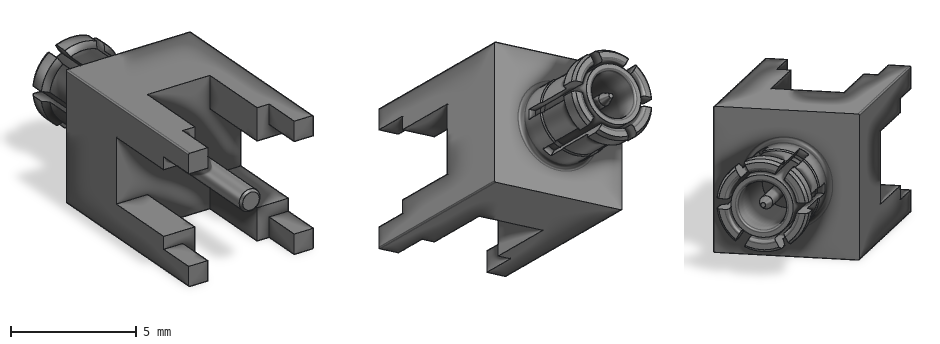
import cadquery as cq
import math


BODY_WIDTH = 6.0
BODY_DEPTH = 3.6
BODY_LENGTH = 8.8
EDGE_ROUND = 0.06
LEG_SIZE = 1.5
LEG_TIP_SIZE = 0.92
LEG_STEP_X = 7.0

REAR_PIN_RADIUS = 0.5
REAR_PIN_CHAMFER = 0.1

SHELL_LENGTH = 4.2
SHELL_BASE_RADIUS = 1.7
SHELL_NECK_RADIUS = 1.65
SHELL_LIP_RADIUS = 1.9
SHELL_BORE_RADIUS = 1.4
SHELL_ROOT_FILLET = 0.2
LIP_FLAT_END = 0.75
NECK_START = 0.98
NECK_END = 2.78
BASE_START = 2.86
LIP_CHAMFER_LENGTH = 0.16
LIP_CHAMFER_HEIGHT = 0.11
SHELL_BORE_ROUND = 0.15

SLOT_COUNT = 6
SLOT_WIDTH = 0.43
SLOT_LENGTH = 3.7

SLEEVE_RADIUS = 1.28
SLEEVE_BORE_RADIUS = 1.0
SLEEVE_BORE_ROUND = 0.09
SLEEVE_STEP_END = 3.3
FRONT_PIN_RADIUS = 0.27
FRONT_PIN_TIP_RADIUS = 0.1
FRONT_PIN_RECESS = 0.2
FRONT_PIN_CONE_LENGTH = 0.5

TIP_X = -SHELL_LENGTH

ARC_MIDPOINT_DROP = 1 - math.sqrt(0.5)


def revolve_about_x(profile):
    """Revolve a closed (X, radius) profile about the X axis."""
    return profile.close().revolve(360, (0, 0, 0), (1, 0, 0))


def box_along_x(start, end, size_y, size_z):
    """Box centred on the X axis between two X positions."""
    return cq.Workplane("XY").box(end - start, size_y, size_z).translate(((start + end) / 2, 0, 0))


def make_body():
    """Square block whose rear is cut crosswise into four stepped legs."""
    body = box_along_x(0, BODY_LENGTH, BODY_WIDTH, BODY_WIDTH).edges("|X").fillet(EDGE_ROUND)
    for start, leg in ((BODY_DEPTH, LEG_SIZE), (LEG_STEP_X, LEG_TIP_SIZE)):
        gap = BODY_WIDTH - 2 * leg
        body = body.cut(box_along_x(start, BODY_LENGTH, gap, BODY_WIDTH))
        body = body.cut(box_along_x(start, BODY_LENGTH, BODY_WIDTH, gap))
    return body


def make_rear_pin():
    """Contact pin between the legs, ending level with their tips."""
    profile = (
        cq.Workplane("XZ")
        .moveTo(BODY_DEPTH, 0)
        .lineTo(BODY_DEPTH, REAR_PIN_RADIUS)
        .lineTo(BODY_LENGTH - REAR_PIN_CHAMFER, REAR_PIN_RADIUS)
        .lineTo(BODY_LENGTH, REAR_PIN_RADIUS - REAR_PIN_CHAMFER)
        .lineTo(BODY_LENGTH, 0)
    )
    return revolve_about_x(profile)


def make_shell():
    """Lipped spring shell, blending into the body with a concave round."""
    fillet_drop = SHELL_ROOT_FILLET * ARC_MIDPOINT_DROP
    bore_round_drop = SHELL_BORE_ROUND * ARC_MIDPOINT_DROP
    profile = (
        cq.Workplane("XZ")
        .moveTo(TIP_X, SHELL_BORE_RADIUS + SHELL_BORE_ROUND)
        .lineTo(TIP_X, SHELL_LIP_RADIUS - LIP_CHAMFER_HEIGHT)
        .lineTo(TIP_X + LIP_CHAMFER_LENGTH, SHELL_LIP_RADIUS)
        .lineTo(TIP_X + LIP_FLAT_END, SHELL_LIP_RADIUS)
        .lineTo(TIP_X + NECK_START, SHELL_NECK_RADIUS)
        .lineTo(TIP_X + NECK_END, SHELL_NECK_RADIUS)
        .lineTo(TIP_X + BASE_START, SHELL_BASE_RADIUS)
        .lineTo(-SHELL_ROOT_FILLET, SHELL_BASE_RADIUS)
        .threePointArc(
            (-fillet_drop, SHELL_BASE_RADIUS + fillet_drop),
            (0, SHELL_BASE_RADIUS + SHELL_ROOT_FILLET),
        )
        .lineTo(0, SHELL_BORE_RADIUS)
        .lineTo(TIP_X + SHELL_BORE_ROUND, SHELL_BORE_RADIUS)
        .threePointArc(
            (TIP_X + bore_round_drop, SHELL_BORE_RADIUS + bore_round_drop),
            (TIP_X, SHELL_BORE_RADIUS + SHELL_BORE_ROUND),
        )
    )
    shell = revolve_about_x(profile)
    for index in range(SLOT_COUNT):
        shell = shell.cut(make_slot(index * 360 / SLOT_COUNT))
    return shell


def make_slot(angle):
    """Cutter for one radial slot, open at the shell tip."""
    slot = cq.Workplane("XY").box(
        SLOT_LENGTH, SHELL_LIP_RADIUS, SLOT_WIDTH, centered=(False, False, True)
    )
    return slot.translate((TIP_X, SHELL_BORE_RADIUS / 2, 0)).rotate((0, 0, 0), (1, 0, 0), angle)


def make_sleeve():
    """Inner sleeve that widens in a short cone to fill the shell bore."""
    bore_round_drop = SLEEVE_BORE_ROUND * ARC_MIDPOINT_DROP
    step_start = SLEEVE_STEP_END - (SHELL_BORE_RADIUS - SLEEVE_RADIUS)
    profile = (
        cq.Workplane("XZ")
        .moveTo(TIP_X, SLEEVE_BORE_RADIUS + SLEEVE_BORE_ROUND)
        .lineTo(TIP_X, SLEEVE_RADIUS)
        .lineTo(TIP_X + step_start, SLEEVE_RADIUS)
        .lineTo(TIP_X + SLEEVE_STEP_END, SHELL_BORE_RADIUS)
        .lineTo(0, SHELL_BORE_RADIUS)
        .lineTo(0, SLEEVE_BORE_RADIUS)
        .lineTo(TIP_X + SLEEVE_BORE_ROUND, SLEEVE_BORE_RADIUS)
        .threePointArc(
            (TIP_X + bore_round_drop, SLEEVE_BORE_RADIUS + bore_round_drop),
            (TIP_X, SLEEVE_BORE_RADIUS + SLEEVE_BORE_ROUND),
        )
    )
    return revolve_about_x(profile)


def make_front_pin():
    """Tapered contact pin standing on the floor of the sleeve bore."""
    pin_tip_x = TIP_X + FRONT_PIN_RECESS
    profile = (
        cq.Workplane("XZ")
        .moveTo(pin_tip_x, 0)
        .lineTo(pin_tip_x, FRONT_PIN_TIP_RADIUS)
        .lineTo(pin_tip_x + FRONT_PIN_CONE_LENGTH, FRONT_PIN_RADIUS)
        .lineTo(0, FRONT_PIN_RADIUS)
        .lineTo(0, 0)
    )
    return revolve_about_x(profile)


result = make_body()
for piece in (make_rear_pin(), make_shell(), make_sleeve(), make_front_pin()):
    result = result.union(piece)